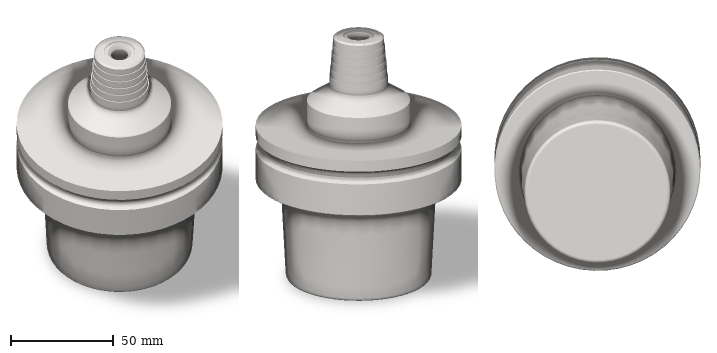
import cadquery as cq

total_height = 124.9
flange_radius = 50.02
gauge_height = 50.0
flange_height = 28.7
flange_top = gauge_height + flange_height

shank_end_radius = 35.3
shank_top_radius = 37.8
shank_end_fillet = 1.7
shank_top = gauge_height - 2.5
relief_depth = 0.2
relief_bevel = 0.6
relief_root_bevel = 0.9

groove_top = 73.1
groove_bottom = 66.5
groove_radius = 46.3
groove_bevel_height = 1.5
groove_shoulder_radius = 47.0
groove_corner = 0.6
flange_edge_chamfer = 0.5

boss_radius = 25.1
boss_top = 91.9
boss_edge = 0.4
boss_root_bevel = 0.5
cone_top = 98.4
nose_radius = 14.2
nose_root_bevel = 0.6
first_step_height = 104.7
step_pitch = 4.0
step_inset = 0.4
step_count = 5
tip_edge_width = 1.0
tip_edge_height = 0.7

recess_radius = 7.6
recess_depth = 0.4
bore_mouth_radius = 5.7
bore_radius = 4.1
bore_countersink = bore_mouth_radius - bore_radius
bore_depth = 12.5


def make_shank():
    """Taper with a rounded end and a shallow bevelled relief under the flange."""
    relief_radius = shank_top_radius - relief_depth
    profile = [
        (0, 0),
        (shank_end_radius, 0),
        (shank_top_radius, shank_top),
        (relief_radius, shank_top + relief_bevel),
        (relief_radius, gauge_height - relief_root_bevel),
        (relief_radius + relief_root_bevel, gauge_height),
        (0, gauge_height),
    ]
    shank = cq.Workplane("XZ").polyline(profile).close().revolve(360, (0, 0), (0, 1))
    return shank.faces("<Z").edges().fillet(shank_end_fillet)


def make_flange():
    """Disc with a bevelled groove around its rim."""
    upper_shoulder = groove_top - groove_bevel_height
    lower_shoulder = groove_bottom + groove_bevel_height
    profile = [
        (0, gauge_height),
        (flange_radius - flange_edge_chamfer, gauge_height),
        (flange_radius, gauge_height + flange_edge_chamfer),
        (flange_radius, groove_bottom),
        (groove_shoulder_radius, lower_shoulder),
        (groove_radius, lower_shoulder + groove_corner),
        (groove_radius, upper_shoulder - groove_corner),
        (groove_shoulder_radius, upper_shoulder),
        (flange_radius, groove_top),
        (flange_radius, flange_top),
        (0, flange_top),
    ]
    return cq.Workplane("XZ").polyline(profile).close().revolve(360, (0, 0), (0, 1))


def make_nose():
    """Boss and cone carrying a nose that narrows in equal steps."""
    profile = (
        cq.Workplane("XZ")
        .moveTo(0, flange_top)
        .lineTo(boss_radius + boss_root_bevel, flange_top)
        .lineTo(boss_radius, flange_top + boss_root_bevel)
        .lineTo(boss_radius, boss_top - boss_edge)
        .lineTo(boss_radius - boss_edge, boss_top)
        .lineTo(nose_radius + nose_root_bevel, cone_top)
        .lineTo(nose_radius, cone_top + nose_root_bevel)
    )
    radius = nose_radius
    for step in range(step_count):
        step_height = first_step_height + step * step_pitch
        profile = profile.lineTo(radius, step_height)
        radius -= step_inset
        profile = profile.lineTo(radius, step_height)
    profile = (
        profile.lineTo(radius, total_height - tip_edge_height)
        .lineTo(radius - tip_edge_width, total_height)
        .lineTo(0, total_height)
        .close()
    )
    return profile.revolve(360, (0, 0), (0, 1))


def make_bore():
    """Material removed at the tip: recess, countersink and blind bore."""
    recess_floor = total_height - recess_depth
    profile = [
        (0, total_height),
        (recess_radius, total_height),
        (recess_radius, recess_floor),
        (bore_mouth_radius, recess_floor),
        (bore_radius, recess_floor - bore_countersink),
        (bore_radius, total_height - bore_depth),
        (0, total_height - bore_depth),
    ]
    return cq.Workplane("XZ").polyline(profile).close().revolve(360, (0, 0), (0, 1))


result = make_shank().union(make_flange()).union(make_nose()).cut(make_bore())